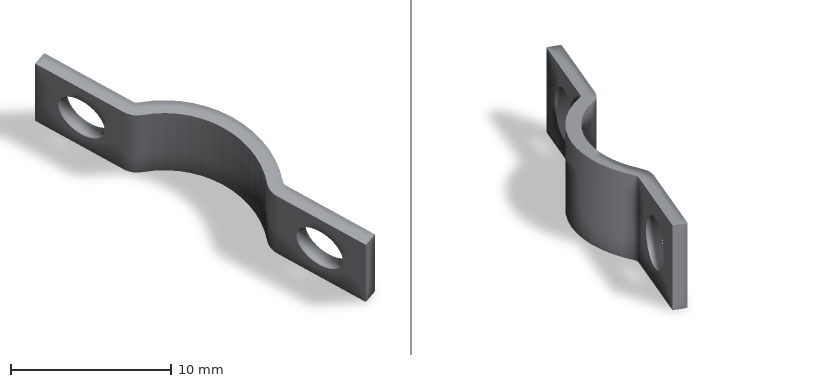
import cadquery as cq
import math

length = 25
width = 6
thickness = 1
overall_depth = 3.5
saddle_outer_radius = 7.5
bend_outer_radius = 1.5
hole_diameter = 3.5
hole_spacing = 18

saddle_inner_radius = saddle_outer_radius - thickness
saddle_center_y = overall_depth - saddle_outer_radius
saddle_inner_top = overall_depth - thickness

bend_inner_radius = bend_outer_radius - thickness
bend_center_y = bend_outer_radius
center_distance = saddle_inner_radius + bend_outer_radius
bend_angle = math.acos((bend_center_y - saddle_center_y) / center_distance)
bend_center_x = center_distance * math.sin(bend_angle)


def bend_point(radius, angle, side):
    """Point on a bend arc, swept from the tab toward the saddle; side is -1 or 1."""
    x = bend_center_x - radius * math.sin(angle)
    y = bend_center_y - radius * math.cos(angle)
    return (side * x, y)


def make_strap():
    half_length = length / 2
    outer = bend_outer_radius
    inner = bend_inner_radius
    middle = bend_angle / 2
    return (
        cq.Workplane("XY")
        .moveTo(-half_length, 0)
        .lineTo(-bend_center_x, 0)
        .threePointArc(bend_point(outer, middle, -1), bend_point(outer, bend_angle, -1))
        .threePointArc((0, saddle_inner_top), bend_point(outer, bend_angle, 1))
        .threePointArc(bend_point(outer, middle, 1), (bend_center_x, 0))
        .lineTo(half_length, 0)
        .lineTo(half_length, thickness)
        .lineTo(bend_center_x, thickness)
        .threePointArc(bend_point(inner, middle, 1), bend_point(inner, bend_angle, 1))
        .threePointArc((0, overall_depth), bend_point(inner, bend_angle, -1))
        .threePointArc(bend_point(inner, middle, -1), (-bend_center_x, thickness))
        .lineTo(-half_length, thickness)
        .close()
        .extrude(width / 2, both=True)
    )


def make_screw_holes():
    return (
        cq.Workplane("XZ")
        .pushPoints([(-hole_spacing / 2, 0), (hole_spacing / 2, 0)])
        .circle(hole_diameter / 2)
        .extrude(-thickness)
    )


result = make_strap().cut(make_screw_holes())